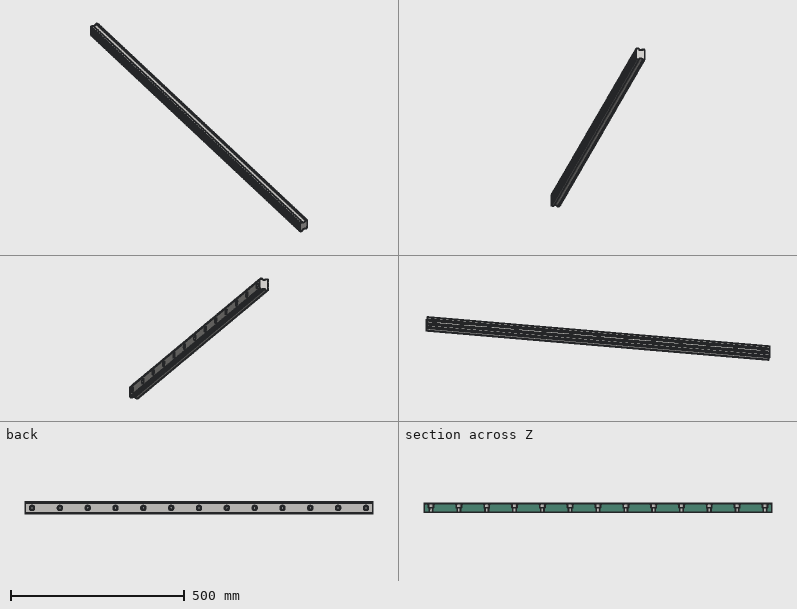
import cadquery as cq
import math

length = 1000.0
height = 26.0
width = 34.0
half_width = width / 2

foot_chamfer = 1.5
base_height = 7.1
shoulder_radius = 1.3

waist_half_width = 13.8
head_bottom_y = 19.9
waist_radius = 2.3

track_radius = 3.2
track_size = 3.0

relief_outer_z = 9.5
relief_inner_z = 3.5
relief_depth = 0.7

hole_count = 13
hole_pitch = 80.0
first_hole_x = (length - (hole_count - 1) * hole_pitch) / 2
shank_diameter = 9.0
counterbore_diameter = 14.0
counterbore_depth = 12.0

bend_angle = math.radians(45)
waist_inset = half_width - waist_half_width
waist_bottom_y = base_height + waist_inset
waist_top_y = head_bottom_y - waist_inset


def blend_setback(radius):
    """Distance from a 45 degree bend to where a rounding of this radius starts."""
    return radius * math.tan(bend_angle / 2)


def half_profile():
    """Cross-section of the rail on the +Z side of its symmetry plane, as (Y, Z) points."""
    shoulder = blend_setback(shoulder_radius)
    shoulder_slope = shoulder * math.cos(bend_angle)
    waist = blend_setback(waist_radius)
    waist_slope = waist * math.cos(bend_angle)
    return (
        cq.Workplane("YZ")
        .lineTo(0, relief_inner_z)
        .lineTo(relief_depth, relief_inner_z + relief_depth)
        .lineTo(relief_depth, relief_outer_z - relief_depth)
        .lineTo(0, relief_outer_z)
        .lineTo(0, half_width - foot_chamfer)
        .lineTo(foot_chamfer, half_width)
        .lineTo(base_height - shoulder, half_width)
        .tangentArcPoint((base_height + shoulder_slope, half_width - shoulder_slope), relative=False)
        .lineTo(waist_bottom_y, waist_half_width)
        .lineTo(waist_top_y - waist, waist_half_width)
        .tangentArcPoint((waist_top_y + waist_slope, waist_half_width + waist_slope), relative=False)
        .lineTo(head_bottom_y, half_width)
        .lineTo(height - track_size, half_width)
        .radiusArc((height, half_width - track_size), -track_radius)
        .lineTo(height, 0)
        .close()
    )


def mounting_holes():
    """Stepped cutters for the row of holes, entering through the head face."""
    centers = [(first_hole_x + i * hole_pitch, 0) for i in range(hole_count)]
    drilled_face = cq.Workplane("XZ", origin=(0, height, 0)).pushPoints(centers)
    shanks = drilled_face.circle(shank_diameter / 2).extrude(height)
    counterbores = drilled_face.circle(counterbore_diameter / 2).extrude(counterbore_depth)
    return shanks.union(counterbores)


half_rail = half_profile().extrude(length)
rail = half_rail.union(half_rail.mirror("XY")).clean()
result = rail.cut(mounting_holes())